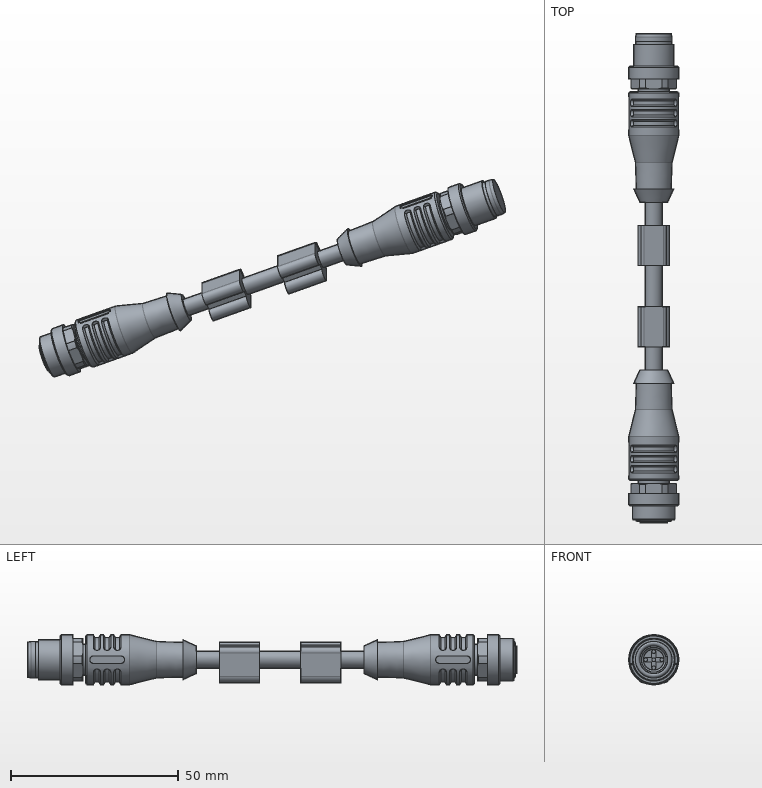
import cadquery as cq
import math

TOTAL_LENGTH = 146.2
MALE_TIP_Y = TOTAL_LENGTH / 2
FEMALE_TIP_Y = -TOTAL_LENGTH / 2
CABLE_DIA = 5.2
OVERLAP = 1.0

TAIL_DIA = 8.3
COLLAR_DIA = 12.0
COLLAR_AT = 4.0
STEM_START_DIA = 10.5
STEM_END_DIA = 11.0
STEM_END = 11.9
GRIP_DIA = 15.0
GRIP_START = 19.9
GRIP_END = 33.1
GRIP_CHAMFER = 0.5

GROOVE_COUNT = 3
GROOVE_PITCH = 3.05
GROOVE_WIDTH = 2.2
GROOVE_FLOOR_WIDTH = 1.2
GROOVE_DEPTH = 0.8
GROOVE_END_Z = 2.8
GROOVE_CENTER = 26.65
RECESS_LENGTH = 10.4
RECESS_WIDTH = 2.2
RECESS_DEPTH = 0.4

NECK_DIA = 9.3
HEX_START = 33.9
HEX_ACROSS_FLATS = 12.8
HEX_CORNER_DIA = 13.7
HEX_CHAMFER = 0.3
RING_START = 36.9
RING_END = 40.7
RING_DIA = 15.0
RING_CHAMFER = 0.4

MALE_TIP = 50.4
THREAD_DIA = 12.0
THREAD_END = 47.2
UNDERCUT_DIA = 10.8
UNDERCUT_END = 48.1
PILOT_DIA = 10.95
PILOT_CHAMFER_LENGTH = 1.0
PILOT_TIP_DIA = 10.5

FEMALE_TIP = 45.7
SLEEVE_DIA = 12.8
SLEEVE_END = 44.8
SLEEVE_CHAMFER = 0.25
SLEEVE_BORE_DIA = 10.95
INSERT_DIA = 8.3
INSERT_RECESS_DIA = 7.4
INSERT_RECESS_FLOOR_DIA = 6.2
INSERT_RECESS_DEPTH = 0.4
CROSS_WIDTH = 1.3
CROSS_DEPTH = 0.4
SEAL_SECTION_DIA = (SLEEVE_BORE_DIA - INSERT_DIA) / 2
SEAL_TIP = 45.3
SEAL_CENTER = SEAL_TIP - SEAL_SECTION_DIA / 2
CONTACT_HOLE_DIA = 1.15
CONTACT_CIRCLE_RADIUS = 2.45
CONTACT_COUNT = 4
CONTACT_DEPTH = 5.0

LABEL_LENGTH = 12.0
LABEL_PITCH = 24.3
LABEL_COUNT = 2
LABEL_HALF_WIDTH = 4.75
LABEL_TOP = 5.25
PLATE_FLAT_HALF_WIDTH = 2.9
PLATE_EDGE_RADIUS = 0.9
WAIST_HALF_WIDTH = 3.5
WAIST_Z = 3.8
SIDE_TOP_Z = 2.0
LABEL_SLOT_WIDTH = 5.4
LABEL_SLOT_BOTTOM = 3.9
LABEL_SLOT_TOP = 4.7
LEG_RADIUS = 1.95
LEG_CENTER_Z = -5.0

MALE_TAIL_Y = MALE_TIP_Y - MALE_TIP
FEMALE_TAIL_Y = FEMALE_TIP_Y + FEMALE_TIP
CABLE_MIDDLE_Y = (MALE_TAIL_Y + FEMALE_TAIL_Y) / 2


def cylinder(diameter, start, end):
    """Cylinder on the Y axis from y = start to y = end."""
    section = cq.Workplane("XZ", origin=(0, start, 0)).circle(diameter / 2)
    return section.extrude(start - end)


def revolved(outline):
    """Solid of revolution about Y from (diameter, y) corners, closed on the axis."""
    corners = [(diameter / 2, y) for diameter, y in outline]
    closed = [(0, corners[0][1])] + corners + [(0, corners[-1][1])]
    return cq.Workplane("XY").polyline(closed).close().revolve(360, (0, 0), (0, 1))


def grip_body():
    """Strain relief, tapered stem and cylindrical grip."""
    return revolved([
        (TAIL_DIA, 0),
        (COLLAR_DIA, COLLAR_AT),
        (STEM_START_DIA, COLLAR_AT),
        (STEM_END_DIA, STEM_END),
        (GRIP_DIA, GRIP_START),
        (GRIP_DIA, GRIP_END - GRIP_CHAMFER),
        (GRIP_DIA - 2 * GRIP_CHAMFER, GRIP_END),
    ])


def groove_ring(middle):
    """Full ring with sloping flanks, as deep as one finger groove."""
    floor_radius = GRIP_DIA / 2 - GROOVE_DEPTH
    outline = [
        (floor_radius, middle - GROOVE_FLOOR_WIDTH / 2),
        (GRIP_DIA / 2, middle - GROOVE_WIDTH / 2),
        (GRIP_DIA / 2 + OVERLAP, middle - GROOVE_WIDTH / 2),
        (GRIP_DIA / 2 + OVERLAP, middle + GROOVE_WIDTH / 2),
        (GRIP_DIA / 2, middle + GROOVE_WIDTH / 2),
        (floor_radius, middle + GROOVE_FLOOR_WIDTH / 2),
    ]
    return cq.Workplane("XY").polyline(outline).close().revolve(360, (0, 0), (0, 1))


def finger_grooves():
    """Circumferential grooves over the top and the bottom, with round ends at the sides."""
    slot_length = GRIP_DIA
    slot_center_z = GROOVE_END_Z + slot_length / 2
    first = GROOVE_CENTER - GROOVE_PITCH * (GROOVE_COUNT - 1) / 2
    grooves = cq.Workplane("XY")
    for index in range(GROOVE_COUNT):
        middle = first + index * GROOVE_PITCH
        span = cq.Workplane("YZ").pushPoints([(middle, slot_center_z), (middle, -slot_center_z)])
        span = span.slot2D(slot_length, GROOVE_WIDTH, 90).extrude(GRIP_DIA, both=True)
        grooves = grooves.add(groove_ring(middle).intersect(span))
    return grooves.combine()


def side_recesses():
    """Long round-ended recesses on the two sides of the grip."""
    floor_x = GRIP_DIA / 2 - RECESS_DEPTH
    recess = cq.Workplane("YZ", origin=(floor_x, 0, 0)).center(GROOVE_CENTER, 0)
    recess = recess.slot2D(RECESS_LENGTH, RECESS_WIDTH).extrude(GRIP_DIA)
    return recess.union(recess.mirror("YZ"))


def hexagon():
    """Wrench hexagon with flats up and down and corners turned off."""
    corner_distance = HEX_ACROSS_FLATS / math.cos(math.radians(30))
    prism = cq.Workplane("XZ", origin=(0, HEX_START, 0)).polygon(6, corner_distance)
    prism = prism.extrude(HEX_START - RING_START)
    blank = cylinder(HEX_CORNER_DIA, HEX_START, RING_START).faces("<Y").chamfer(HEX_CHAMFER)
    return prism.intersect(blank)


def connector_body():
    """Everything the two connectors share: grip, neck, hexagon and coupling ring."""
    body = grip_body().cut(finger_grooves()).cut(side_recesses())
    body = body.union(cylinder(NECK_DIA, GRIP_END - OVERLAP, HEX_START + OVERLAP))
    body = body.union(hexagon())
    ring = cylinder(RING_DIA, RING_START, RING_END).faces(">Y").chamfer(RING_CHAMFER)
    return body.union(ring)


def male_connector():
    """Shared body with a plain cylinder at thread diameter, an undercut and a tapered pilot."""
    tip = revolved([
        (THREAD_DIA, RING_START),
        (THREAD_DIA, THREAD_END),
        (UNDERCUT_DIA, THREAD_END),
        (UNDERCUT_DIA, UNDERCUT_END),
        (PILOT_DIA, UNDERCUT_END),
        (PILOT_DIA, MALE_TIP - PILOT_CHAMFER_LENGTH),
        (PILOT_TIP_DIA, MALE_TIP),
    ])
    return connector_body().union(tip)


def contact_insert():
    """Round insert with a dished face, a cross groove and the contact holes."""
    floor = FEMALE_TIP - INSERT_RECESS_DEPTH
    insert = cylinder(INSERT_DIA, RING_START, FEMALE_TIP)
    insert = insert.cut(revolved([(INSERT_RECESS_FLOOR_DIA, floor), (INSERT_RECESS_DIA, FEMALE_TIP)]))
    face = cq.Workplane("XZ", origin=(0, floor, 0))
    arm_length = 2 * CONTACT_CIRCLE_RADIUS
    for across, along in ((arm_length, CROSS_WIDTH), (CROSS_WIDTH, arm_length)):
        insert = insert.cut(face.rect(across, along).extrude(CROSS_DEPTH))
    holes = face.circle(CONTACT_HOLE_DIA / 2).extrude(CONTACT_DEPTH)
    ring_of_holes = face.polarArray(CONTACT_CIRCLE_RADIUS, 0, 360, CONTACT_COUNT)
    holes = holes.union(ring_of_holes.circle(CONTACT_HOLE_DIA / 2).extrude(CONTACT_DEPTH))
    return insert.cut(holes)


def female_connector():
    """Shared body with a sleeve, a seal and a contact insert."""
    sleeve = cylinder(SLEEVE_DIA, RING_START, SLEEVE_END).faces(">Y").chamfer(SLEEVE_CHAMFER)
    sleeve = sleeve.cut(cylinder(SLEEVE_BORE_DIA, SEAL_CENTER, SLEEVE_END))
    seal_radius = (SLEEVE_BORE_DIA + INSERT_DIA) / 4
    seal = cq.Workplane("XY").center(seal_radius, SEAL_CENTER).circle(SEAL_SECTION_DIA / 2)
    seal = seal.revolve(360, (-seal_radius, 0), (-seal_radius, 1))
    return connector_body().union(sleeve).union(seal).union(contact_insert())


def label_carrier(middle_y):
    """Block round the cable with a slotted label plate on top and two round legs below."""
    edge_x = PLATE_FLAT_HALF_WIDTH + PLATE_EDGE_RADIUS
    edge_z = LABEL_TOP - PLATE_EDGE_RADIUS
    leg_x = LABEL_HALF_WIDTH - LEG_RADIUS
    shoulder_bulge = math.sin(math.radians(45))
    shoulder_x = WAIST_HALF_WIDTH + (LABEL_HALF_WIDTH - WAIST_HALF_WIDTH) * shoulder_bulge
    shoulder_z = SIDE_TOP_Z + (WAIST_Z - SIDE_TOP_Z) * shoulder_bulge
    start = cq.Workplane("XZ", origin=(0, middle_y + LABEL_LENGTH / 2, 0))
    half = (
        start.moveTo(0, LABEL_TOP)
        .lineTo(PLATE_FLAT_HALF_WIDTH, LABEL_TOP)
        .tangentArcPoint((edge_x, edge_z), relative=False)
        .lineTo(WAIST_HALF_WIDTH, WAIST_Z)
        .threePointArc((shoulder_x, shoulder_z), (LABEL_HALF_WIDTH, SIDE_TOP_Z))
        .lineTo(LABEL_HALF_WIDTH, LEG_CENTER_Z)
        .threePointArc((leg_x, LEG_CENTER_Z - LEG_RADIUS), (leg_x - LEG_RADIUS, LEG_CENTER_Z))
        .lineTo(0, LEG_CENTER_Z)
        .close()
        .extrude(LABEL_LENGTH)
    )
    slot_height = LABEL_SLOT_TOP - LABEL_SLOT_BOTTOM
    slot = start.center(0, LABEL_SLOT_BOTTOM + slot_height / 2).rect(LABEL_SLOT_WIDTH, slot_height)
    return half.union(half.mirror("YZ")).clean().cut(slot.extrude(LABEL_LENGTH))


result = cylinder(CABLE_DIA, FEMALE_TAIL_Y - OVERLAP, MALE_TAIL_Y + OVERLAP)
result = result.union(male_connector().translate((0, MALE_TAIL_Y, 0)))
result = result.union(female_connector().mirror("XZ").translate((0, FEMALE_TAIL_Y, 0)))
for number in range(LABEL_COUNT):
    offset = (number - (LABEL_COUNT - 1) / 2) * LABEL_PITCH
    result = result.union(label_carrier(CABLE_MIDDLE_Y + offset))